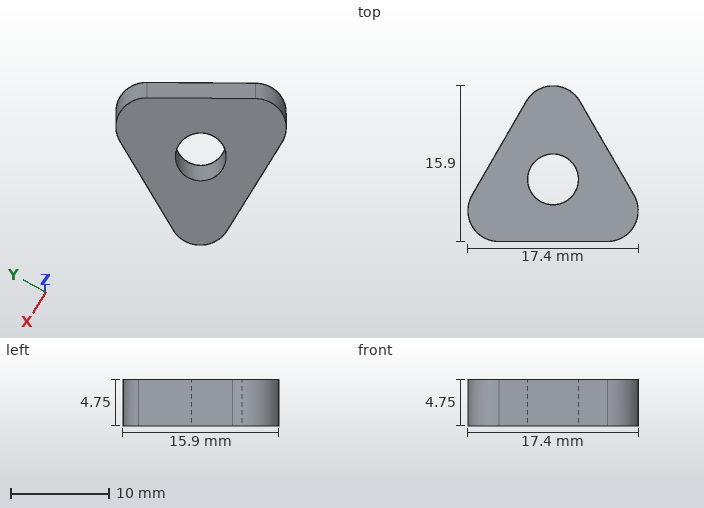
import cadquery as cq
import math

overall_width = 17.35
corner_radius = 3.15
thickness = 4.75
hole_diameter = 5.15

corner_spacing = overall_width - 2 * corner_radius
corner_distance = corner_spacing / math.sqrt(3)


def rounded_triangle_plate():
    """Equilateral plate pointing to +Y, with its three upright edges rounded."""
    sharp_corner_distance = corner_distance + 2 * corner_radius
    corner_angles = [math.radians(90 + 120 * i) for i in range(3)]
    corners = [
        (sharp_corner_distance * math.cos(a), sharp_corner_distance * math.sin(a))
        for a in corner_angles
    ]
    plate = cq.Workplane("XY").polyline(corners).close().extrude(thickness)
    return plate.edges("|Z").fillet(corner_radius)


result = rounded_triangle_plate().faces(">Z").workplane(origin=(0, 0, 0)).hole(hole_diameter)